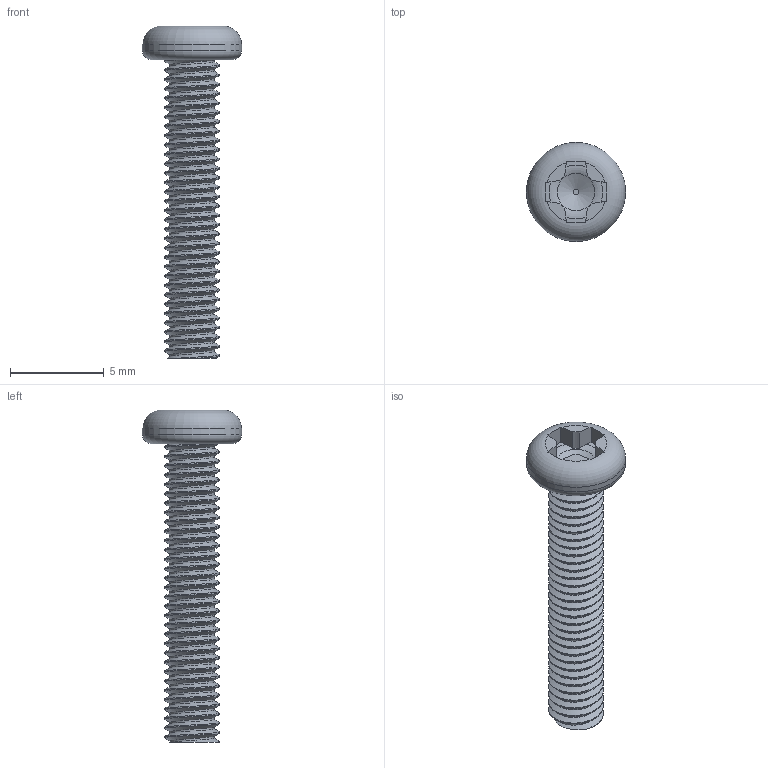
import cadquery as cq
import math

OVERALL_LENGTH = 17.74
HEAD_HEIGHT = 1.8
HEAD_DIAMETER = 5.3
HEAD_TOP_RADIUS = 1.0
HEAD_BOTTOM_RADIUS = 0.5

THREAD_PITCH = 0.5
THREAD_MAJOR_DIAMETER = 2.93
THREAD_MINOR_DIAMETER = 2.36
THREAD_FLANK_ANGLE = 30.0
THREAD_CREST_FLAT = THREAD_PITCH / 8
GROOVE_START_OFFSET = -0.06
GROOVE_OVERSHOOT = 0.02
EXTRA_TURNS = 2

WING_COUNT = 4
WING_SPAN = 3.27
WING_TIP_WIDTH = 1.0
WING_ROOT_WIDTH = 1.25
WING_ROOT_DISTANCE = 0.8
CORE_DIAMETER = 2.14
WING_DEPTH = 1.0
ROUNDING_DIAMETER = 2.87
CONE_DIAMETER = 2.0
CONE_TIP_DIAMETER = 0.3
CONE_SLOPE = 25.0

SHANK_LENGTH = OVERALL_LENGTH - HEAD_HEIGHT


def make_head():
    """Disc with a large rounding on top and a small one around the bearing face."""
    disc = cq.Workplane("XY").circle(HEAD_DIAMETER / 2).extrude(HEAD_HEIGHT)
    rounded = disc.faces(">Z").edges().fillet(HEAD_TOP_RADIUS)
    return rounded.faces("<Z").edges().fillet(HEAD_BOTTOM_RADIUS)


def make_thread_groove():
    """Right-handed helical V-groove with a flat root, running past both ends of the shank."""
    slope = math.tan(math.radians(THREAD_FLANK_ANGLE))
    root_radius = THREAD_MINOR_DIAMETER / 2
    outer_radius = THREAD_MAJOR_DIAMETER / 2 + GROOVE_OVERSHOOT
    outer_half = (THREAD_PITCH - THREAD_CREST_FLAT) / 2 + GROOVE_OVERSHOOT * slope
    root_half = outer_half - (outer_radius - root_radius) * slope

    turns = math.ceil(SHANK_LENGTH / THREAD_PITCH) + EXTRA_TURNS
    start_height = GROOVE_START_OFFSET + (EXTRA_TURNS / 2 - turns) * THREAD_PITCH
    path = cq.Wire.makeHelix(THREAD_PITCH, turns * THREAD_PITCH, root_radius)
    groove = (
        cq.Workplane("XZ")
        .moveTo(root_radius, -root_half)
        .lineTo(outer_radius, -outer_half)
        .lineTo(outer_radius, outer_half)
        .lineTo(root_radius, root_half)
        .close()
        .sweep(cq.Workplane(path), isFrenet=True)
    )
    return groove.translate((0, 0, start_height))


def make_shank():
    """Threaded shank hanging below the head."""
    blank = cq.Workplane("XY").circle(THREAD_MAJOR_DIAMETER / 2).extrude(-SHANK_LENGTH)
    return blank.cut(make_thread_groove())


def make_recess():
    """Cross-shaped prism around a round core, ending in a flat wing floor rounded into a shallow cone."""
    outline = cq.Workplane("XY").circle(CORE_DIAMETER / 2).extrude(HEAD_HEIGHT)
    tip = WING_SPAN / 2
    taper = (WING_ROOT_WIDTH - WING_TIP_WIDTH) / (tip - WING_ROOT_DISTANCE)
    centre_width = WING_TIP_WIDTH + taper * tip
    wing = (
        cq.Workplane("XY")
        .moveTo(0, -centre_width / 2)
        .lineTo(tip, -WING_TIP_WIDTH / 2)
        .lineTo(tip, WING_TIP_WIDTH / 2)
        .lineTo(0, centre_width / 2)
        .close()
        .extrude(HEAD_HEIGHT)
    )
    for index in range(WING_COUNT):
        outline = outline.union(wing.rotate((0, 0, 0), (0, 0, 1), index * 360 / WING_COUNT))

    slope = math.radians(CONE_SLOPE)
    rounding_run = (ROUNDING_DIAMETER - CONE_DIAMETER) / 2
    cone_run = (CONE_DIAMETER - CONE_TIP_DIAMETER) / 2
    floor_height = HEAD_HEIGHT - WING_DEPTH
    cone_rim_height = floor_height - rounding_run * math.tan(slope / 2)
    tip_height = cone_rim_height - cone_run * math.tan(slope)
    floor = (
        cq.Workplane("XZ")
        .moveTo(0, HEAD_HEIGHT)
        .lineTo(HEAD_DIAMETER / 2, HEAD_HEIGHT)
        .lineTo(HEAD_DIAMETER / 2, floor_height)
        .lineTo(ROUNDING_DIAMETER / 2, floor_height)
        .tangentArcPoint((CONE_DIAMETER / 2, cone_rim_height), relative=False)
        .lineTo(CONE_TIP_DIAMETER / 2, tip_height)
        .lineTo(0, tip_height)
        .close()
        .revolve(360, (0, 0, 0), (0, 1, 0))
    )
    return outline.intersect(floor)


result = make_head().cut(make_recess()).union(make_shank(), glue=True, clean=False)